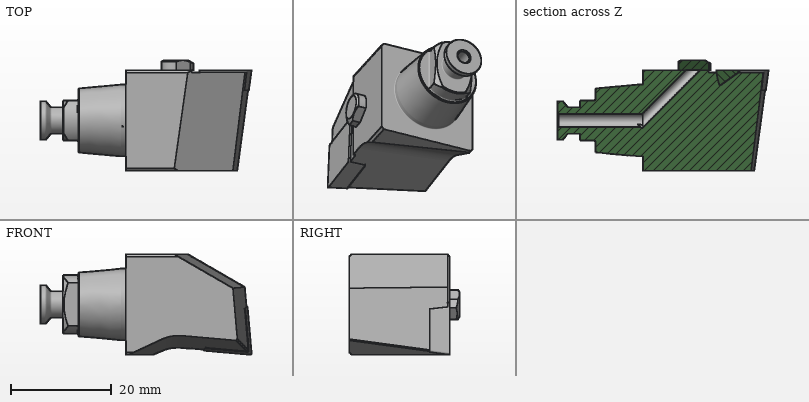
import cadquery as cq
import math


head_size = 20.0
half_head = head_size / 2
head_chamfer = 0.5
tool_length = 25.0
nose_recess = 0.45
nose_recess_start = 13.1

insert_circle = 9.525
insert_thickness = 3.97
insert_nose_radius = 0.4
insert_corner_angle = 80.0
relief_angle = 7.0
edge_tilt = math.radians((90.0 - insert_corner_angle) / 2)
insert_overhang = 0.15
nose_centre = cq.Vector(tool_length - insert_nose_radius, 0, -half_head + insert_nose_radius)
edge_out = cq.Vector(math.cos(edge_tilt), 0, math.sin(edge_tilt))
edge_down = cq.Vector(-math.sin(edge_tilt), 0, -math.cos(edge_tilt))

relief_shift = head_size * math.tan(math.radians(relief_angle))
top_slope = math.radians(30.0)
nose_shoulder_z = 3.45
nose_corner_chamfer = 0.3
throat_x = 10.75
throat_flat = 0.6
throat_radius = 7.5
ramp_angle = math.radians(25.0)

taper_length = 9.45
taper_small_radius = 6.4
taper_large_radius = 7.15
taper_land = 1.0
taper_chamfer = 0.2
taper_root_fillet = 0.15

stud_end_x = -17.0
stud_flange_radius = 3.85
stud_flange_length = 1.1
stud_neck_radius = 2.65
stud_neck_start_x = -14.9
stud_blend_radius = 0.3
stud_root_fillet = 0.15
collar_x = -12.5
collar_radius = 5.86
collar_chamfer = 0.2
collar_length = -taper_length - collar_x
collar_root_fillet = 0.25
flat_half_width = 4.0
bevel_radius = 10.6
bevel_offset = 6.8

bore_radius = 1.25
bore_chamfer = 0.25
slant_radius = 1.0
bore_end_x = 0.0

nozzle_x = 9.95
nozzle_radius = 2.9
nozzle_height = 2.0
nozzle_turn = 34.0
nozzle_half_width = 2.45
nozzle_flat_end = 1.72
nozzle_front = 3.29
nozzle_front_half_width = 1.40
nozzle_top_radius = 2.35
nozzle_bevel = math.radians(30.0)


def sheared_prism(profile, shift):
    """Prism from an XZ profile at Y = +half_head, sliding back by shift at Y = -half_head."""
    sweep = cq.Vector(-shift.x, -head_size, -shift.z)
    return cq.Workplane(cq.Solid.extrudeLinear(profile.val(), [], sweep))


def at_front_face():
    """XZ plane on the +Y face; local x is X and local y is Z."""
    return cq.Workplane("XZ", origin=(0, half_head, 0))


def make_insert():
    corner = math.radians(insert_corner_angle)
    side = insert_circle / math.sin(corner)
    along_end = cq.Vector(-math.sin(edge_tilt), 0, math.cos(edge_tilt)) * side
    along_lower = cq.Vector(-math.cos(edge_tilt), 0, math.sin(edge_tilt)) * side
    tip_dir = (along_end + along_lower).normalized() * -1
    tip = nose_centre + tip_dir * (insert_nose_radius / math.sin(corner / 2))
    corners = [tip, tip + along_end, tip + along_end + along_lower, tip + along_lower]
    rhombus = at_front_face().polyline([(p.x, p.z) for p in corners]).close()
    blank = rhombus.extrude(insert_thickness, taper=relief_angle)
    corner_edges = cq.selectors.BoxSelector(
        (0, half_head - 0.6 * insert_thickness, -head_size),
        (2 * tool_length, half_head - 0.4 * insert_thickness, head_size))
    return blank.edges(corner_edges).fillet(insert_nose_radius)


def make_nose_envelope():
    """Everything behind the end face and under the top slope."""
    edge = nose_centre + edge_out * (insert_nose_radius - insert_overhang)

    def end_x(z):
        return edge.x - (z - edge.z) * math.tan(edge_tilt)

    ceiling = 2 * half_head
    shoulder_x = end_x(nose_shoulder_z)
    slope_top_x = shoulder_x - (ceiling - nose_shoulder_z) / math.tan(top_slope)
    outline = [
        (-half_head, -ceiling),
        (end_x(-ceiling), -ceiling),
        (shoulder_x, nose_shoulder_z),
        (slope_top_x, ceiling),
        (-half_head, ceiling),
    ]
    wire = at_front_face().polyline(outline).close().wire()
    return sheared_prism(wire, edge_out * relief_shift)


def make_throat_cutter():
    """Space under the lower relief face, its concave throat and the ramp behind it."""
    edge = nose_centre + edge_down * (insert_nose_radius - insert_overhang)
    floor = -2 * half_head
    far_x = tool_length + half_head

    def relief_z(x):
        return edge.z - (x - edge.x) * math.tan(edge_tilt)

    centre_x = throat_x - throat_flat
    roof_z = relief_z(throat_x)

    def arc_point(angle):
        return (
            centre_x - throat_radius * math.sin(angle),
            roof_z - throat_radius * (1 - math.cos(angle)),
        )

    ramp_start = arc_point(ramp_angle)
    ramp_foot_x = ramp_start[0] - (ramp_start[1] - floor) / math.tan(ramp_angle)
    wire = (
        at_front_face()
        .moveTo(far_x, floor)
        .lineTo(far_x, relief_z(far_x))
        .lineTo(throat_x, roof_z)
        .lineTo(centre_x, roof_z)
        .threePointArc(arc_point(ramp_angle / 2), ramp_start)
        .lineTo(ramp_foot_x, floor)
        .close()
        .wire()
    )
    return sheared_prism(wire, edge_down * relief_shift)


def turned(profile):
    return cq.Workplane("XY").polyline(profile).close().revolve(360, (0, 0, 0), (1, 0, 0))


def make_taper():
    return turned([
        (-taper_length, 0),
        (-taper_length, taper_small_radius - taper_chamfer),
        (-taper_length + taper_chamfer, taper_small_radius),
        (-taper_land, taper_large_radius),
        (0, taper_large_radius),
        (0, 0),
    ])


def make_stud():
    stud = turned([
        (stud_end_x, 0),
        (stud_end_x, stud_flange_radius),
        (stud_end_x + stud_flange_length, stud_flange_radius),
        (stud_neck_start_x, stud_neck_radius),
        (collar_x, stud_neck_radius),
        (collar_x, 0),
    ])
    flange_edge = cq.selectors.BoxSelector(
        (stud_end_x + 0.5 * stud_flange_length, -half_head, -half_head),
        (stud_neck_start_x + 0.5 * stud_flange_length, half_head, half_head))
    return stud.edges(flange_edge).edges("%CIRCLE").fillet(stud_blend_radius)


def make_collar():
    """Round collar with two wrench flats and bevelled corners beside them."""
    collar = turned([
        (collar_x, 0),
        (collar_x, collar_radius - collar_chamfer),
        (collar_x + collar_chamfer, collar_radius),
        (-taper_length, collar_radius),
        (-taper_length, 0),
    ])
    collar = collar.intersect(
        cq.Workplane("XY").box(4 * head_size, 2 * flat_half_width, head_size))
    for side in (1, -1):
        bevel = cq.Solid.makeCone(
            bevel_radius, bevel_radius + collar_length, collar_length,
            cq.Vector(collar_x, -side * bevel_offset, 0), cq.Vector(1, 0, 0))
        collar = collar.intersect(cq.Workplane(bevel))
    return collar


def make_shank():
    shank = make_taper().union(make_collar())
    reach = (collar_radius + taper_small_radius - taper_chamfer) / 2
    root = cq.selectors.BoxSelector(
        (-taper_length - taper_chamfer / 2, -reach, -reach),
        (-taper_length + taper_chamfer / 2, reach, reach), boundingbox=True)
    shank = shank.edges(root).fillet(collar_root_fillet).union(make_stud())
    neck_root = cq.selectors.BoxSelector(
        (collar_x - collar_chamfer / 2, -stud_flange_radius, -stud_flange_radius),
        (collar_x + collar_chamfer / 2, stud_flange_radius, stud_flange_radius), boundingbox=True)
    return shank.edges(neck_root).edges("%CIRCLE").fillet(stud_root_fillet)


def make_coolant_passage():
    main = cq.Workplane("YZ", origin=(stud_end_x, 0, 0)).circle(bore_radius).extrude(bore_end_x - stud_end_x)
    mouth = cq.Solid.makeCone(
        bore_radius + bore_chamfer, bore_radius, bore_chamfer,
        cq.Vector(stud_end_x, 0, 0), cq.Vector(1, 0, 0))
    slant = cq.Vector(nozzle_x - bore_end_x, half_head, 0)
    overrun = slant.normalized() * bore_radius
    start = cq.Vector(bore_end_x, 0, 0) - overrun
    length = slant.Length + 2 * overrun.Length
    slanting = cq.Solid.makeCylinder(slant_radius, length, start, slant)
    return main.union(cq.Workplane(mouth)).union(cq.Workplane(slanting))


def make_head(insert, passage):
    block = (
        cq.Workplane("XY")
        .box(tool_length + half_head, head_size, head_size, centered=(False, True, True))
        .edges("|X")
        .chamfer(head_chamfer)
    )
    head = block.intersect(make_nose_envelope()).cut(make_throat_cutter())
    corner = nose_centre + (edge_out + edge_down) * (insert_nose_radius - insert_overhang - relief_shift / 2)
    corner_edge = cq.selectors.NearestToPointSelector(corner.toTuple())
    head = head.edges(corner_edge).chamfer(nose_corner_chamfer)
    step = cq.Workplane("XY").box(tool_length, nose_recess, 2 * head_size, centered=(False, False, True))
    head = head.cut(step.translate((nose_recess_start, half_head - nose_recess, 0)))
    root = cq.selectors.BoxSelector(
        (-taper_land / 2, -half_head, -half_head),
        (taper_land / 2, half_head, half_head))
    head = head.union(make_shank())
    head = head.edges("%CIRCLE").edges(root).fillet(taper_root_fillet)
    return head.cut(insert).cut(passage)


def make_nozzle():
    """Flat-sided nozzle with a round back and a narrowed front that faces the insert."""
    round_end = -math.sqrt(nozzle_radius ** 2 - nozzle_half_width ** 2)
    base = (
        cq.Workplane("XZ")
        .moveTo(round_end, nozzle_half_width)
        .threePointArc((-nozzle_radius, 0), (round_end, -nozzle_half_width))
        .lineTo(nozzle_flat_end, -nozzle_half_width)
        .lineTo(nozzle_front, -nozzle_front_half_width)
        .lineTo(nozzle_front, nozzle_front_half_width)
        .lineTo(nozzle_flat_end, nozzle_half_width)
        .close()
        .extrude(-nozzle_height)
    )
    foot_radius = nozzle_top_radius + nozzle_height / math.tan(nozzle_bevel)
    bevel = cq.Solid.makeCone(
        foot_radius, nozzle_top_radius, nozzle_height, cq.Vector(0, 0, 0), cq.Vector(0, 1, 0))
    nozzle = base.intersect(cq.Workplane(bevel))
    return nozzle.rotate((0, 0, 0), (0, 1, 0), nozzle_turn).translate((nozzle_x, half_head, 0))


insert = make_insert()
passage = make_coolant_passage()
head = make_head(insert, passage)
nozzle = make_nozzle()

result = cq.Compound.makeCompound([head.val(), insert.val(), nozzle.val()])